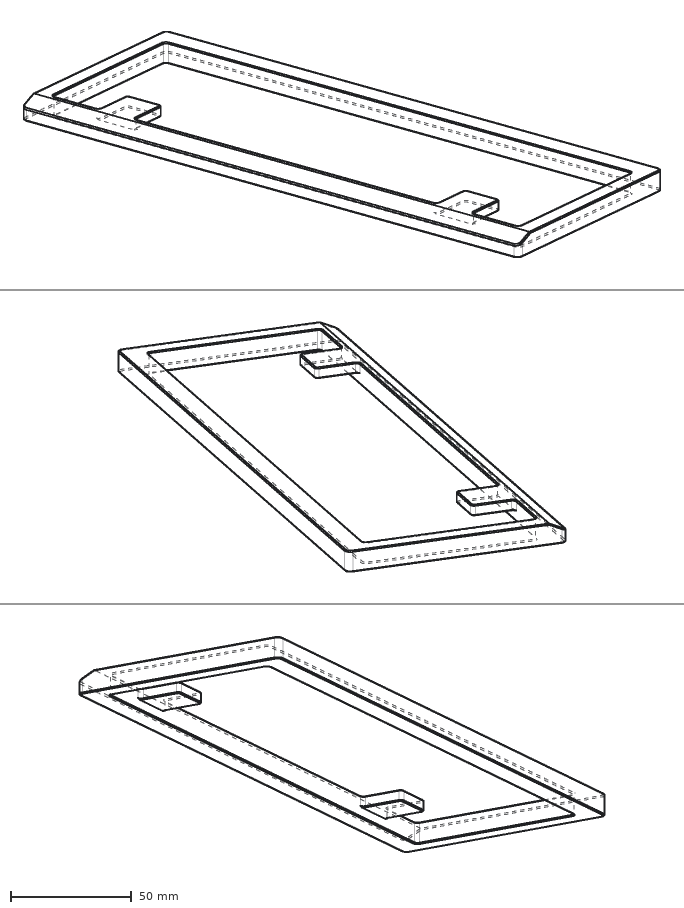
import cadquery as cq
import math

length = 260.0
width = 98.5

side_rail = 8.0
end_rail = 10.7
outer_corner_radius = 2.5
inner_corner_radius = 1.5

front_wall_height = 5.7
slope_run = 8.0
slope_angle = 25.0
slope_drop = slope_run * math.tan(math.radians(slope_angle))
height = front_wall_height + slope_drop

tab_width = 18.5
tab_reach = 19.2
tab_thickness = 5.0
tab_inset = 32.5
tab_tip_radius = 1.5
tab_root_radius = 1.5

rim_bevel = 0.5

tolerance = 0.001

front_y = -width / 2
opening_front_y = front_y + end_rail
slope_top_y = front_y + slope_run
tab_bottom_z = height - tab_thickness
tab_center_x = length / 2 - tab_inset - tab_width / 2


def make_frame():
    """Rectangular frame with rounded upright corners, standing on Z = 0."""
    block = cq.Workplane("XY").box(length, width, height, centered=(True, True, False))
    block = block.edges("|Z").fillet(outer_corner_radius)
    opening = cq.Workplane("XY").box(
        length - 2 * side_rail, width - 2 * end_rail, height, centered=(True, True, False)
    )
    return block.cut(opening.edges("|Z").fillet(inner_corner_radius))


def make_slope_cutter():
    """Wedge that removes the top front edge along the whole length."""
    return (
        cq.Workplane("YZ", origin=(-length / 2, 0, 0))
        .moveTo(front_y, height)
        .lineTo(slope_top_y, height)
        .lineTo(front_y, front_wall_height)
        .close()
        .extrude(length)
    )


def make_tab(center_x):
    """Flat tab with rounded tip, flared root and bevelled underside, set into the front rail."""
    half = tab_width / 2
    flare = half + tab_root_radius
    shoulder = tab_reach - tab_tip_radius
    root_depth = (end_rail - slope_run) / 2
    tab = (
        cq.Workplane("XY", origin=(center_x, opening_front_y, tab_bottom_z))
        .moveTo(-flare, -root_depth)
        .lineTo(-flare, 0)
        .radiusArc((-half, tab_root_radius), -tab_root_radius)
        .lineTo(-half, shoulder)
        .radiusArc((-half + tab_tip_radius, tab_reach), tab_tip_radius)
        .lineTo(half - tab_tip_radius, tab_reach)
        .radiusArc((half, shoulder), tab_tip_radius)
        .lineTo(half, tab_root_radius)
        .radiusArc((flare, 0), -tab_root_radius)
        .lineTo(flare, -root_depth)
        .close()
        .extrude(tab_thickness)
    )
    return tab.faces("<Z").edges().chamfer(rim_bevel)


def is_slope_top(edge):
    """True for the line where the slope meets the flat top, which stays sharp."""
    runs_along_x = edge.BoundingBox().ylen < tolerance
    return runs_along_x and abs(edge.Center().y - slope_top_y) < tolerance


def is_slope(face):
    """True for the face that leans between flat and upright."""
    return tolerance < face.normalAt().z < 1 - tolerance


def bevel_rims(body):
    """Bevel the borders of the flat top, the slope and the frame underside."""
    rim_faces = body.faces(">Z or <Z").vals()
    rim_faces += [face for face in body.faces().vals() if is_slope(face)]
    rim_edges = [edge for face in rim_faces for edge in face.Edges() if not is_slope_top(edge)]
    return body.newObject(rim_edges).chamfer(rim_bevel)


sharp_body = make_frame().cut(make_slope_cutter())
for side in (-1, 1):
    sharp_body = sharp_body.union(make_tab(side * tab_center_x))

result = bevel_rims(sharp_body)